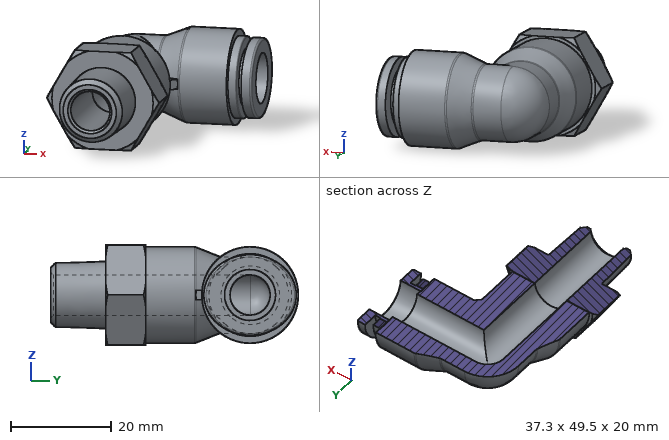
import cadquery as cq
import math


BORE_D = 8.0

HOUSING_D = 19.3
NECK_D = 15.35
CONE_START = 6.05
CONE_END = 11.0
ARM_LENGTH = 20.8
CONE_BLEND_R = 1.0
WEB_THICKNESS = 2.0
WEB_LONG_REACH = 10.85
WEB_SHORT_REACH = 9.6

HEX_ACROSS_FLATS = 20.0
HEX_LENGTH = 8.0
HEX_CHAMFER_D = 20.75
HEX_CHAMFER_ANGLE = 20.0
THREAD_LENGTH = 11.0
THREAD_BASE_D = 13.5
THREAD_TAPER = 1 / 16
TIP_CHAMFER = 1.0
MOUTH_D = 9.0

RING_D = 16.5
RING_LENGTH = 1.7
RING_EDGE_R = 0.15

COLLET_D = 11.7
COLLET_BORE_D = 10.2
FLANGE_START = 23.75
FLANGE_END = 25.8
FLANGE_WIDTH = 18.45
FLANGE_HEIGHT = 16.05
FLANGE_EDGE_R = 0.4

HEX_START = ARM_LENGTH
HEX_END = HEX_START + HEX_LENGTH
STUD_END = HEX_END + THREAD_LENGTH
RING_END = ARM_LENGTH + RING_LENGTH


def x_cylinder(diameter, start, end):
    """Cylinder along +X between two X positions."""
    return cq.Workplane("YZ", origin=(start, 0, 0)).circle(diameter / 2).extrude(end - start)


def y_cylinder(diameter, start, end):
    """Cylinder along -Y between two distances from the elbow centre."""
    return cq.Workplane("XZ", origin=(0, -start, 0)).circle(diameter / 2).extrude(end - start)


def to_stud_arm(shape):
    """Move a shape from the +X arm onto the -Y arm."""
    return shape.rotate((0, 0, 0), (0, 0, 1), -90)


def make_arm():
    """Housing arm along +X: neck, cone and full-width barrel, with blended cone edges."""
    arm = (
        cq.Workplane("XY")
        .moveTo(0, 0)
        .lineTo(0, NECK_D / 2)
        .lineTo(CONE_START, NECK_D / 2)
        .lineTo(CONE_END, HOUSING_D / 2)
        .lineTo(ARM_LENGTH, HOUSING_D / 2)
        .lineTo(ARM_LENGTH, 0)
        .close()
        .revolve(360, (0, 0, 0), (1, 0, 0))
    )
    margin = CONE_BLEND_R
    cone_edges = cq.selectors.BoxSelector(
        (CONE_START - margin, -HOUSING_D, -HOUSING_D),
        (CONE_END + margin, HOUSING_D, HOUSING_D),
        boundingbox=True,
    )
    return arm.edges("%CIRCLE").edges(cone_edges).fillet(CONE_BLEND_R)


def make_web():
    """Flat triangular web that bridges the inner corner between the two cones."""
    return (
        cq.Workplane("XY")
        .polyline([(0, 0), (WEB_LONG_REACH, -WEB_SHORT_REACH), (WEB_SHORT_REACH, -WEB_LONG_REACH)])
        .close()
        .extrude(WEB_THICKNESS / 2, both=True)
    )


def make_housing():
    arm = make_arm()
    bore = (
        x_cylinder(BORE_D, 0, ARM_LENGTH)
        .union(y_cylinder(BORE_D, 0, ARM_LENGTH))
        .union(cq.Workplane("XY").sphere(BORE_D / 2))
    )
    return (
        arm.union(to_stud_arm(arm))
        .union(cq.Workplane("XY").sphere(NECK_D / 2))
        .union(make_web())
        .cut(bore)
    )


def make_hexagon():
    """Hexagon with its corners on the X axis, both ends turned down at the corners."""
    corner_r = HEX_ACROSS_FLATS / math.sqrt(3)
    chamfer_r = HEX_CHAMFER_D / 2
    chamfer_length = (corner_r - chamfer_r) * math.tan(math.radians(HEX_CHAMFER_ANGLE))
    prism = (
        cq.Workplane("XZ", origin=(0, -HEX_START, 0))
        .polygon(6, 2 * corner_r)
        .extrude(HEX_LENGTH)
    )
    turned = (
        cq.Workplane("XY")
        .moveTo(0, -HEX_START)
        .lineTo(chamfer_r, -HEX_START)
        .lineTo(corner_r, -HEX_START - chamfer_length)
        .lineTo(corner_r, -HEX_END + chamfer_length)
        .lineTo(chamfer_r, -HEX_END)
        .lineTo(0, -HEX_END)
        .close()
        .revolve(360, (0, 0, 0), (0, 1, 0))
    )
    return prism.intersect(turned)


def make_thread():
    """Tapered thread blank with a 45 degree tip chamfer."""
    base_r = THREAD_BASE_D / 2
    tip_r = base_r - (THREAD_LENGTH - TIP_CHAMFER) * THREAD_TAPER / 2
    return (
        cq.Workplane("XY")
        .moveTo(0, -HEX_END)
        .lineTo(base_r, -HEX_END)
        .lineTo(tip_r, -STUD_END + TIP_CHAMFER)
        .lineTo(tip_r - TIP_CHAMFER, -STUD_END)
        .lineTo(0, -STUD_END)
        .close()
        .revolve(360, (0, 0, 0), (0, 1, 0))
    )


def make_stud():
    mouth_chamfer = (MOUTH_D - BORE_D) / 2
    return (
        make_hexagon()
        .union(make_thread())
        .cut(y_cylinder(BORE_D, HEX_START, STUD_END))
        .faces("<Y").edges("%CIRCLE").edges(cq.selectors.RadiusNthSelector(0)).chamfer(mouth_chamfer)
    )


def make_ring():
    return (
        x_cylinder(RING_D, ARM_LENGTH, RING_END)
        .faces(">X").edges().fillet(RING_EDGE_R)
        .cut(x_cylinder(COLLET_D, ARM_LENGTH, RING_END))
    )


def make_collet():
    """Release collet: a round sleeve through the ring with an oval push flange."""
    sleeve = x_cylinder(COLLET_D, ARM_LENGTH, FLANGE_START)
    flange = (
        cq.Workplane("YZ", origin=(FLANGE_START, 0, 0))
        .ellipse(FLANGE_WIDTH / 2, FLANGE_HEIGHT / 2)
        .extrude(FLANGE_END - FLANGE_START)
        .faces(">X").edges().fillet(FLANGE_EDGE_R)
    )
    return sleeve.union(flange).cut(x_cylinder(COLLET_BORE_D, ARM_LENGTH, FLANGE_END))


housing = make_housing()
stud = make_stud()
ring = make_ring()
collet = make_collet()

result = cq.Compound.makeCompound([housing.val(), stud.val(), ring.val(), collet.val()])